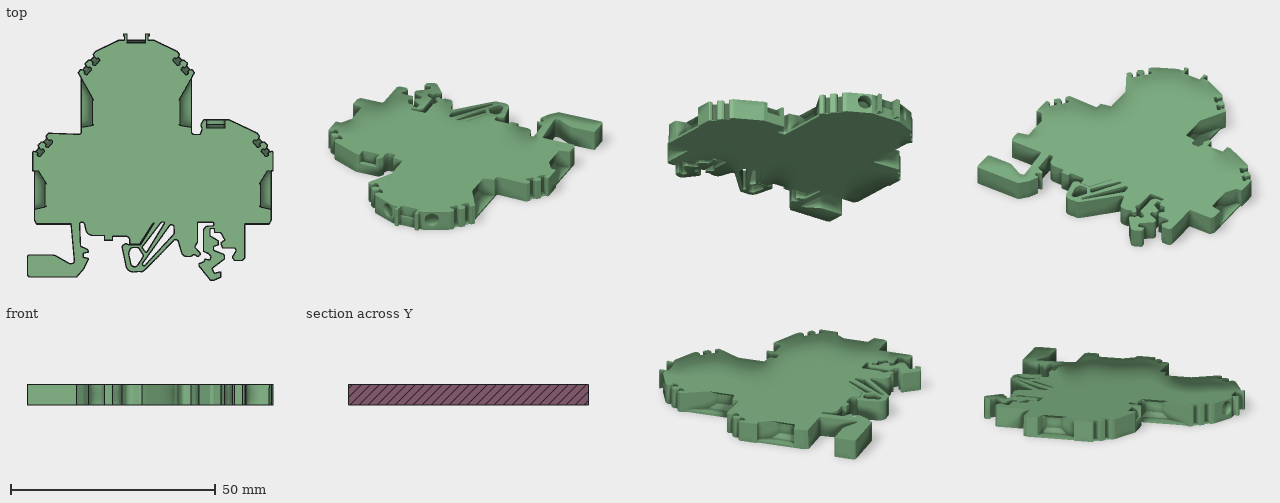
import cadquery as cq
import math

THICKNESS = 5.1
UPPER_AXIS = 26.7
LOWER_AXIS = 30.7
TOP_Y = 58.85
TOTAL_Y = 60.35
SHOULDER_Y = 35.8
BASE_Y = 13.7
TOWER_WALL = 13.15
TIER_WALL = 1.7
TIER_EDGE = 1.25
TIER_STEP_Y = 26.85
TOWER_TIP = (12.45, 50.9)

STRIP_ANGLE = 48.0
UPPER_STRIP = (14.05, 53.1)
LOWER_STRIP = (2.55, 33.1)
STRIP_TOP = (4.0, -0.05)
SLOT_COUNT = 2
SLOT_PITCH = 3.0
SLOT_CENTER = 2.2
SLOT_LENGTH = 2.25
SLOT_NEAR = 1.4
SLOT_FAR = 2.25
SLOT_FLOOR = 0.3
NECK_WIDTH = 1.2
NECK_START = 0.3
SLOT_BEVEL = 0.2
SLOT_CORNER = 0.25

LEDGE = 0.55
FUNNEL_DEPTH = 1.1
FUNNEL_LOW_Z = 1.7
FUNNEL_HIGH_Z = 4.2
FUNNEL_INSET_LOW_Y = 0.7

POCKET_WIDTH = 4.45
SEAT_Z = 2.55
TROUGH_Z = 0.5
TROUGH_RADIUS = 1.2
TIER_TOP_Y = 39.4
TOWER_SEAT_DEPTH = 0.5
TOWER_POCKET_DEPTH = 0.7
TIER_SEAT_DEPTH = 1.2
TIER_POCKET_DEPTH = 2.1
TIER_POCKET_X = 46.1
PRONG_BOTTOM_Z = 0.35
PRONG_THICKNESS = 0.65
HOOK_REACH = 0.3
HOOK_HEIGHT = 0.5
PRONG_ROOT = 0.6

BORE_DIAMETER = 3.5
BORE_DEPTH = 3.6
BORE_Z = 2.9

ROOF_EDGE = (22.4, TOP_Y)
DRAFT = 0.2
DRAFT_LEFT_END = 10.6
DRAFT_RIGHT_START = 53.35


def mirrored(points, axis):
    """Reflect points across the vertical line x = axis, keeping any corner radius."""
    return [(2 * axis - p[0],) + tuple(p[1:]) for p in points]


def strip_point(origin, along, depth):
    """Point on a left-hand marker strip: along its edge, and depth into the body."""
    angle = math.radians(STRIP_ANGLE)
    x = origin[0] + along * math.cos(angle) + depth * math.sin(angle)
    y = origin[1] + along * math.sin(angle) - depth * math.cos(angle)
    return (x, y)


def rounded_wire(points):
    """Closed wire through (x, y) corners; a third value is that corner's radius."""
    count = len(points)
    work = None
    for i in range(count):
        x, y = points[i][:2]
        radius = points[i][2] if len(points[i]) > 2 else 0
        path = [(x, y)]
        if radius:
            px, py = points[i - 1][:2]
            nx, ny = points[(i + 1) % count][:2]
            before = math.hypot(px - x, py - y)
            after = math.hypot(nx - x, ny - y)
            ux, uy = (px - x) / before, (py - y) / before
            vx, vy = (nx - x) / after, (ny - y) / after
            half = math.acos(ux * vx + uy * vy) / 2
            reach = radius / math.tan(half)
            bisector = math.hypot(ux + vx, uy + vy)
            gap = radius / math.sin(half) - radius
            middle = (x + (ux + vx) / bisector * gap, y + (uy + vy) / bisector * gap)
            path = [(x + ux * reach, y + uy * reach), middle, (x + vx * reach, y + vy * reach)]
        work = work.lineTo(*path[0]) if work else cq.Workplane("XY").moveTo(*path[0])
        if radius:
            work = work.threePointArc(path[1], path[2])
    return work.close()


def prism(points, low=0.0):
    """Solid over a rounded outline, from height low to the plate's upper face."""
    return rounded_wire(points).extrude(THICKNESS - low).translate((0, 0, low))


def strip_edge(origin):
    """Toothed edge of a left-hand marker strip, from its upper end downward."""
    teeth = [
        (*STRIP_TOP, 0.3), (3.0, 0.0, 0.25), (2.8, 0.55), (1.5, 0.5), (1.25, 0.1),
        (0.0, 0.0, 0.25), (-0.2, 0.6), (-1.5, 0.65), (-1.75, 0.2),
    ]
    return [strip_point(origin, t[0], t[1]) + tuple(t[2:]) for t in teeth]


tower_side = [
    ROOF_EDGE, *strip_edge(UPPER_STRIP), TOWER_TIP, (TOWER_WALL, 49.6),
]
tier_side = [
    *strip_edge(LOWER_STRIP), (TIER_EDGE, 31.4), (TIER_EDGE, TIER_STEP_Y), (TIER_WALL, TIER_STEP_Y),
    (TIER_WALL, 14.8), (2.3, BASE_Y),
]

shoulder_step = [(TOWER_WALL, SHOULDER_Y, 0.55)]
valley = [
    (40.2, SHOULDER_Y, 0.6), (42.3, SHOULDER_Y, 0.25), (42.8, 37.05, 0.5), (42.45, 38.15, 0.5),
    (43.2, TIER_TOP_Y), (49.3, TIER_TOP_Y),
]

right_foot = [
    (53.25, BASE_Y, 0.3), (53.25, 5.45), (52.65, 4.8), (50.75, 4.8), (50.15, 5.7, 0.2),
    (51.1, 7.3, 0.25), (50.8, 7.9), (47.8, 7.9), (47.3, 9.2, 0.2), (48.35, 9.9, 0.2),
    (47.4, 11.7, 0.5), (45.8, 11.7, 0.25), (45.8, 12.7, 0.25), (44.7, 12.7, 0.2),
]
latch = [
    (44.7, 10.9), (46.8, 9.7, 0.2), (46.8, 8.7), (45.65, 8.3), (45.65, 7.35, 0.25),
    (48.3, 6.35, 0.7), (48.3, 5.25, 0.4), (45.3, 2.95, 0.2), (45.75, 1.75, 0.2),
    (47.4, 2.2, 0.2), (47.4, 0.8, 0.35), (45.65, 0.0, 0.6), (44.85, 0.0, 0.35), (42.0, 3.55, 0.2),
    (42.0, 4.1), (43.2, 4.6), (43.5, 5.25, 0.2), (44.65, 5.0), (44.95, 5.9, 0.3),
    (44.3, 6.6, 0.25), (43.1, 7.1, 0.2), (43.1, 13.35, 1.3), (45.65, 13.35, 0.35),
    (45.65, 14.25, 0.35), (41.7, 14.25, 0.2),
]
lobe = [
    (41.7, 9.4), (41.1, 8.4), (41.1, 8.0), (42.5, 6.6, 0.3), (41.75, 5.75, 0.25),
    (40.85, 6.4, 0.55), (40.0, 5.85), (38.0, 5.85, 1.3), (36.8, 9.95, 0.6), (36.05, 9.95, 0.35),
]
spring_loop = [
    (29.2, 2.95), (28.1, 2.05), (27.4, 2.2), (26.2, 2.05), (24.45, 2.05, 1.8), (23.1, 8.4, 0.6),
    (24.1, 9.05, 0.35), (25.0, 8.7), (27.65, 8.7), (30.95, 14.0), (30.85, 14.05), (27.5, 8.9),
]
left_underside = [
    (25.05, 8.9), (25.05, 10.8, 0.95), (20.9, 10.8), (20.9, 9.85), (18.85, 9.85), (18.85, 11.0),
    (14.6, 11.0, 1.8), (13.9, 14.25, 0.55), (12.8, 14.25, 0.4),
]
left_foot = [
    (13.05, 8.4), (14.7, 7.6), (15.1, 6.95, 0.2), (13.7, 6.65, 0.1), (13.7, 5.7), (15.0, 5.4, 0.2),
    (13.8, 2.85, 0.9), (12.0, 0.8), (0.0, 0.8, 0.7), (0.0, 6.3, 0.5), (6.5, 6.3, 2.4),
    (10.4, 4.1, 0.6), (11.5, 4.2, 0.55), (10.7, BASE_Y, 0.2),
]

outline = (
    mirrored(tower_side, UPPER_AXIS)
    + valley
    + mirrored(tier_side, LOWER_AXIS)
    + right_foot
    + latch
    + lobe
    + spring_loop
    + left_underside
    + left_foot
    + tier_side[::-1]
    + shoulder_step
    + tower_side[::-1]
)

loop_window = [
    (25.35, 8.0, 0.7), (27.2, 8.0, 0.55), (28.4, 6.05, 0.35), (26.55, 2.95, 0.95),
    (25.4, 3.75, 0.55), (24.8, 6.65, 0.5),
]
upper_slot = [
    (32.85, 14.3, 0.3), (33.75, 14.3, 0.25), (29.1, 6.7, 0.3), (28.05, 8.1, 0.2),
]
lower_slot = [
    (35.05, 13.75, 0.4), (35.85, 13.4, 0.4), (36.0, 11.45, 0.2), (28.5, 3.4, 0.25), (28.1, 4.05, 0.2),
]

tower_entry_plan = [
    TOWER_TIP, (15.95, 44.65), (15.95, 37.95), (TOWER_WALL, 37.5), (TOWER_TIP[0], 37.5),
]
tier_entry_plan = [
    (TIER_EDGE, TIER_STEP_Y), (2.65, TIER_STEP_Y, 0.3), (4.35, 24.15), (4.35, 18.0),
    (TIER_WALL, 17.4), (TIER_EDGE, 17.4),
]


def marker_slots(origin):
    """T-slots of a left-hand strip; each neck floor slopes down to the open edge."""
    slots = cq.Workplane("XY")
    end = SLOT_LENGTH / 2
    for step in range(SLOT_COUNT):
        center = SLOT_CENTER - step * SLOT_PITCH
        corners = [
            (center - end, SLOT_NEAR), (center + end, SLOT_NEAR),
            (center + end - SLOT_BEVEL, SLOT_FAR), (center - end + SLOT_BEVEL, SLOT_FAR),
        ]
        plan = [strip_point(origin, *corner) + (SLOT_CORNER,) for corner in corners]
        slots = slots.add(prism(plan, SLOT_FLOOR))
        neck = (
            cq.Workplane("YZ")
            .polyline([
                (-NECK_START, 0), (-NECK_START, THICKNESS),
                (-SLOT_NEAR, THICKNESS), (-SLOT_NEAR, SLOT_FLOOR),
            ])
            .close()
            .extrude(NECK_WIDTH / 2, both=True)
            .rotate((0, 0, 0), (0, 0, 1), STRIP_ANGLE)
            .translate(strip_point(origin, center, 0))
        )
        slots = slots.add(neck)
    return slots.combine()


def wire_entry(plan, wall):
    """Left-hand side pocket above the ledge, plus the funnel leading inward.

    The plan point numbered wall starts the slanted wall; the next two points
    are the ends of the funnel mouth. The funnel's far side continues the slant.
    """
    pocket = prism(plan, LEDGE)
    wall_x, wall_y = plan[wall][:2]
    mouth_x, mouth_high_y = plan[wall + 1]
    mouth_low_y = plan[wall + 2][1]
    slant = (wall_y - mouth_high_y) / (mouth_x - wall_x)
    low_y = mouth_low_y + FUNNEL_INSET_LOW_Y
    high_y = mouth_high_y - FUNNEL_DEPTH * slant
    funnel = (
        cq.Workplane("YZ", origin=(mouth_x, 0, 0))
        .polyline([(mouth_low_y, LEDGE), (mouth_high_y, LEDGE),
                   (mouth_high_y, THICKNESS), (mouth_low_y, THICKNESS)])
        .close()
        .workplane(offset=FUNNEL_DEPTH)
        .polyline([(low_y, FUNNEL_LOW_Z), (high_y, FUNNEL_LOW_Z),
                   (high_y, FUNNEL_HIGH_Z), (low_y, FUNNEL_HIGH_Z)])
        .close()
        .loft(ruled=True)
    )
    return pocket.union(funnel)


def flip(solid, axis):
    """Reflect a solid across the plane x = axis."""
    return solid.mirror("YZ", (axis, 0, 0))


def top_pocket(center_x, edge_y, seat_depth, total_depth):
    """Seat open to the top edge, with a deeper trough behind it."""
    seat = cq.Workplane("XY").box(
        POCKET_WIDTH, seat_depth, THICKNESS - SEAT_Z, centered=(True, False, False)
    ).translate((center_x, edge_y - seat_depth, SEAT_Z))
    trough_length = total_depth - seat_depth
    trough = cq.Workplane("XY").box(
        POCKET_WIDTH, trough_length, THICKNESS - TROUGH_Z, centered=(True, False, False)
    )
    trough = trough.edges("|Y and <Z").fillet(TROUGH_RADIUS)
    return seat.union(trough.translate((center_x, edge_y - total_depth, TROUGH_Z)))


def prong():
    """Left hooked prong beside the tower's top pocket."""
    inner = UPPER_AXIS - POCKET_WIDTH / 2
    outer = inner - PRONG_THICKNESS
    return prism(
        [
            (inner, TOP_Y - PRONG_ROOT), (inner, TOTAL_Y), (outer - HOOK_REACH, TOTAL_Y),
            (outer - HOOK_REACH, TOTAL_Y - HOOK_HEIGHT), (outer, TOTAL_Y - HOOK_HEIGHT),
            (outer, TOP_Y - PRONG_ROOT),
        ],
        PRONG_BOTTOM_Z,
    )


def roof_bore():
    """Blind bore square to the left roof slope, just below the roof's flat top."""
    foot = strip_point(UPPER_STRIP, *STRIP_TOP)
    run, rise = ROOF_EDGE[0] - foot[0], ROOF_EDGE[1] - foot[1]
    slope = math.hypot(run, rise)
    along = (run / slope, rise / slope)
    radius = BORE_DIAMETER / 2
    center = cq.Vector(ROOF_EDGE[0] - along[0] * radius, ROOF_EDGE[1] - along[1] * radius, BORE_Z)
    inward = cq.Vector(along[1], -along[0], 0)
    return cq.Workplane(cq.Solid.makeCylinder(radius, BORE_DEPTH, center, inward))


def base_draft(left, right):
    """Wedge that leans a base edge inward toward the upper face."""
    return (
        cq.Workplane("YZ", origin=(left, 0, 0))
        .polyline([(BASE_Y, 0), (BASE_Y, THICKNESS), (BASE_Y + DRAFT, THICKNESS)])
        .close()
        .extrude(right - left)
    )


body = prism(outline)
for opening in (loop_window, upper_slot, lower_slot):
    body = body.cut(prism(opening))

sides = (
    (UPPER_AXIS, marker_slots(UPPER_STRIP), wire_entry(tower_entry_plan, 0)),
    (LOWER_AXIS, marker_slots(LOWER_STRIP), wire_entry(tier_entry_plan, 1)),
)
for axis, slots, entry in sides:
    for cutter in (slots, entry):
        body = body.cut(cutter).cut(flip(cutter, axis))

body = body.cut(top_pocket(UPPER_AXIS, TOP_Y, TOWER_SEAT_DEPTH, TOWER_POCKET_DEPTH))
body = body.cut(top_pocket(TIER_POCKET_X, TIER_TOP_Y, TIER_SEAT_DEPTH, TIER_POCKET_DEPTH))
body = body.union(prong()).union(flip(prong(), UPPER_AXIS))
body = body.cut(roof_bore()).cut(flip(roof_bore(), UPPER_AXIS))
body = body.cut(base_draft(TIER_WALL, DRAFT_LEFT_END))
body = body.cut(base_draft(DRAFT_RIGHT_START, 2 * LOWER_AXIS - TIER_WALL))

result = body